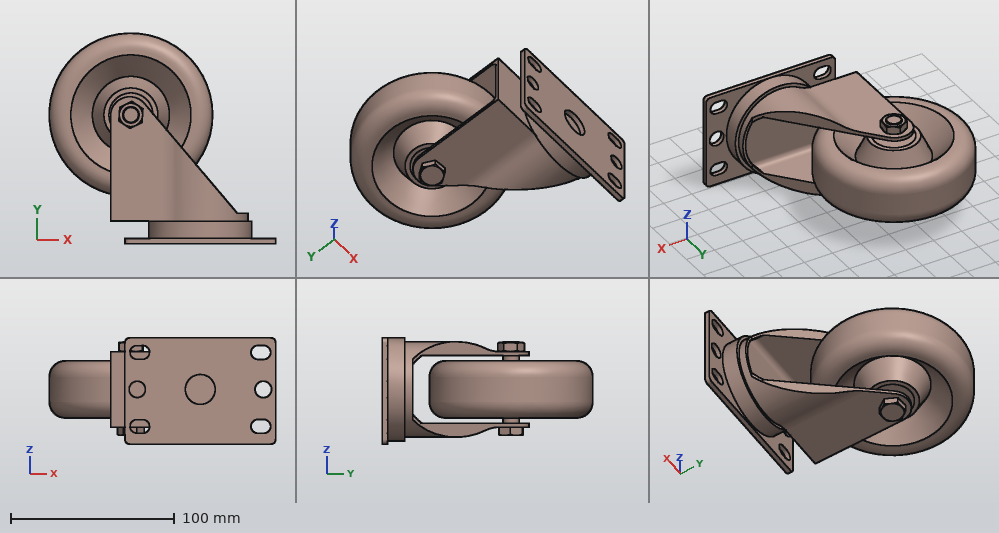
import cadquery as cq
import math


wheel_radius = 49.9
wheel_width = 35.0
tread_fillet = 10.0
recess_radius = 36.7
recess_root_radius = 23.5
hub_radius = 16.5
recess_depth = 15.0
bearing_radius = 13.4

bolt_radius = 5.0
hex_across_flats = 14.2
hex_turn = -4.0
hex_chamfer_slope = math.radians(30)
bolt_head_height = 5.0
nut_height = 5.5
bolt_end_chamfer = 0.4
bolt_projection = 0.5

swivel_x = 42.3
mount_y = -78.7
plate_thickness = 3.3
race_height = 10.5
plate_top_y = mount_y + plate_thickness
fork_base_y = plate_top_y + race_height

plate_length = 92.1
plate_width = 65.0
race_radius = 31.5
plate_center_z = race_radius - plate_width / 2
plate_corner_radius = 3.0
slot_length = 11.9
slot_width = 8.3
slot_offset_x = 36.9
slot_offset_z = 22.5
round_hole_radius = 5.0
round_hole_offset_x = 38.5
center_hole_radius = 9.1

fork_half_width = 23.1
arm_thickness = 2.5
fork_wall = 2.0
fork_left_x = -12.5
flange_radius = 29.2
flange_height = 5.0
blend_radius = 15.0
floor_fillet = 4.0
tip_radius = 11.8
tip_y = -0.7
slope_end_x = 64.9


def make_wheel():
    """Turned wheel with a V-shaped recess in both faces and a bore for the bearing."""
    half_width = wheel_width / 2
    recess_root = half_width - recess_depth
    profile = [
        (bearing_radius, -half_width),
        (hub_radius, -half_width),
        (recess_root_radius, -recess_root),
        (recess_radius, -half_width),
        (wheel_radius, -half_width),
        (wheel_radius, half_width),
        (recess_radius, half_width),
        (recess_root_radius, recess_root),
        (hub_radius, half_width),
        (bearing_radius, half_width),
    ]
    wheel = cq.Workplane("XZ").polyline(profile).close().revolve(360, (0, 0), (0, 1))
    rim = cq.selectors.RadiusNthSelector(-1)
    return wheel.edges("%CIRCLE").edges(rim).fillet(tread_fillet)


def make_bearing():
    """Plain sleeve that fills the wheel bore and runs on the bolt."""
    ring = cq.Workplane("XY").circle(bearing_radius).circle(bolt_radius)
    return ring.extrude(wheel_width / 2, both=True)


def hex_prism(bottom_z, height, chamfer_top):
    """Hexagonal prism with two corners on the X axis, chamfered below and optionally on top."""
    across_corners = hex_across_flats / math.cos(math.pi / 6)
    corner_radius = across_corners / 2
    flat_radius = hex_across_flats / 2
    drop = (corner_radius - flat_radius) * math.tan(hex_chamfer_slope)
    top_z = bottom_z + height

    prism = cq.Workplane("XY", origin=(0, 0, bottom_z)).polygon(6, across_corners).extrude(height)
    profile = [(0, bottom_z), (flat_radius, bottom_z), (corner_radius, bottom_z + drop)]
    if chamfer_top:
        profile += [(corner_radius, top_z - drop), (flat_radius, top_z)]
    else:
        profile.append((corner_radius, top_z))
    profile.append((0, top_z))
    envelope = cq.Workplane("XZ").polyline(profile).close().revolve(360, (0, 0), (0, 1))
    return prism.intersect(envelope)


def make_bolt():
    """Hex bolt along the wheel axis, head below the lower arm."""
    shank_length = 2 * fork_half_width + nut_height + bolt_projection
    shank = cq.Workplane("XY", origin=(0, 0, -fork_half_width)).circle(bolt_radius).extrude(shank_length)
    shank = shank.faces(">Z").chamfer(bolt_end_chamfer)
    head = hex_prism(-fork_half_width - bolt_head_height, bolt_head_height, False)
    head = head.rotate((0, 0, 0), (0, 0, 1), hex_turn)
    return head.union(shank)


def make_nut():
    """Hex nut on the upper arm, its corners a quarter turn from those of the head."""
    nut = hex_prism(fork_half_width, nut_height, True)
    nut = nut.rotate((0, 0, 0), (0, 0, 1), 90 + hex_turn)
    return nut.cut(bolt_bore())


def bolt_bore():
    """Cylinder of bolt size, longer than the whole stack."""
    return cq.Workplane("XY").circle(bolt_radius).extrude(2 * fork_half_width, both=True)


def fork_footprint(height):
    """Fork outline seen along the swivel axis, raised from the fork base."""
    blend_center_z = fork_half_width + blend_radius
    center_distance = flange_radius + blend_radius
    blend_start_x = swivel_x - math.sqrt(center_distance**2 - blend_center_z**2)
    reach = flange_radius / center_distance
    join_x = swivel_x + (blend_start_x - swivel_x) * reach
    join_z = blend_center_z * reach
    start_angle = -math.pi / 2
    end_angle = math.atan2(join_z - blend_center_z, join_x - blend_start_x)
    middle_angle = (start_angle + end_angle) / 2
    middle_x = blend_start_x + blend_radius * math.cos(middle_angle)
    middle_z = blend_center_z + blend_radius * math.sin(middle_angle)

    return (
        cq.Workplane("XZ", origin=(0, fork_base_y, 0))
        .moveTo(fork_left_x, -fork_half_width)
        .lineTo(blend_start_x, -fork_half_width)
        .threePointArc((middle_x, -middle_z), (join_x, -join_z))
        .threePointArc((swivel_x + flange_radius, 0), (join_x, join_z))
        .threePointArc((middle_x, middle_z), (blend_start_x, fork_half_width))
        .lineTo(fork_left_x, fork_half_width)
        .close()
        .extrude(-height)
    )


def fork_side_profile():
    """Arm outline seen along the wheel axis: upright, round tip, tangent slope, flange."""
    flange_top_y = fork_base_y + flange_height
    flange_right_x = swivel_x + flange_radius
    tip_x = fork_left_x + tip_radius
    run_x = slope_end_x - tip_x
    run_y = flange_top_y - tip_y
    tangent_angle = math.atan2(run_y, run_x) + math.acos(tip_radius / math.hypot(run_x, run_y))
    middle_angle = (tangent_angle + math.pi) / 2

    def on_tip(angle):
        return (tip_x + tip_radius * math.cos(angle), tip_y + tip_radius * math.sin(angle))

    return (
        cq.Workplane("XY")
        .moveTo(fork_left_x, fork_base_y)
        .lineTo(flange_right_x, fork_base_y)
        .lineTo(flange_right_x, flange_top_y)
        .lineTo(slope_end_x, flange_top_y)
        .lineTo(*on_tip(tangent_angle))
        .threePointArc(on_tip(middle_angle), (fork_left_x, tip_y))
        .close()
        .extrude(flange_radius, both=True)
    )


def fork_cavity(height):
    """Space between the arms, closed by the rounded wall, with rounded edges along the arms."""
    half_gap = fork_half_width - arm_thickness
    inner_radius = flange_radius - fork_wall
    open_x = fork_left_x - inner_radius
    join_x = swivel_x + math.sqrt(inner_radius**2 - half_gap**2)
    floor = cq.Workplane("XZ", origin=(0, fork_base_y + fork_wall, 0))
    room = (
        floor.moveTo(open_x, -half_gap)
        .lineTo(join_x, -half_gap)
        .threePointArc((swivel_x + inner_radius, 0), (join_x, half_gap))
        .lineTo(open_x, half_gap)
        .close()
        .extrude(-height)
    )
    room_length = swivel_x + inner_radius - open_x
    channel = floor.center(open_x + room_length / 2, 0).rect(room_length, 2 * half_gap).extrude(-height)
    channel = channel.faces("<Y").edges("|X").fillet(floor_fillet)
    return room.intersect(channel)


def make_fork():
    """Thin-walled fork: two arms, floor and rounded wall around the swivel axis."""
    full_height = tip_y + tip_radius - fork_base_y
    fork = fork_footprint(full_height).intersect(fork_side_profile())
    return fork.cut(fork_cavity(full_height)).cut(bolt_bore())


def make_race():
    """Swivel race between fork and plate."""
    return cq.Workplane("XZ", origin=(swivel_x, plate_top_y, 0)).circle(race_radius).extrude(-race_height)


def make_plate():
    """Mounting plate with corner slots, two round holes and a center hole."""
    plane = cq.Workplane("XZ", origin=(swivel_x, mount_y, 0))
    plate = plane.center(0, plate_center_z).rect(plate_length, plate_width).extrude(-plate_thickness)
    plate = plate.edges("|Y").fillet(plate_corner_radius)
    slots = plane.rect(2 * slot_offset_x, 2 * slot_offset_z, forConstruction=True).vertices()
    slots = slots.slot2D(slot_length, slot_width).extrude(-plate_thickness)
    round_hole_places = [(-round_hole_offset_x, 0), (round_hole_offset_x, 0)]
    round_holes = plane.pushPoints(round_hole_places).circle(round_hole_radius).extrude(-plate_thickness)
    center_hole = plane.circle(center_hole_radius).extrude(-plate_thickness)
    return plate.cut(slots).cut(round_holes).cut(center_hole)


wheel = make_wheel()
bearing = make_bearing()
bolt = make_bolt()
nut = make_nut()
fork = make_fork()
race = make_race()
plate = make_plate()

result = cq.Compound.makeCompound([
    wheel.val(),
    bearing.val(),
    bolt.val(),
    nut.val(),
    fork.val(),
    race.val(),
    plate.val(),
])